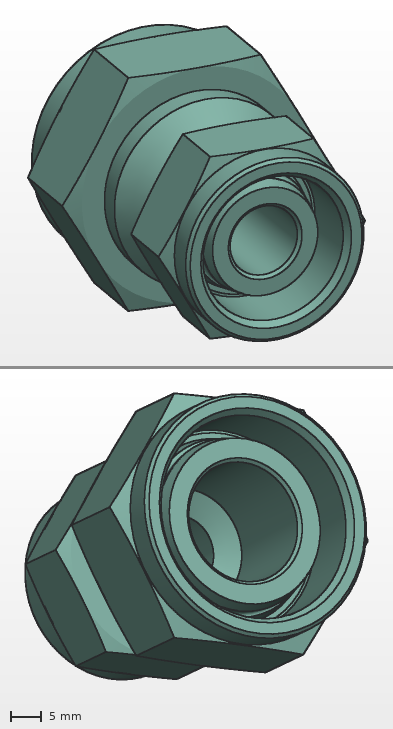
import cadquery as cq
import math

LENGTH = 51.35

FACE_RECESS = 4.25
CONE_LENGTH = 7.95
CONE_HALF_ANGLE = 12.0
SHOULDER_DEPTH = FACE_RECESS + CONE_LENGTH
CONE_RISE = CONE_LENGTH * math.tan(math.radians(CONE_HALF_ANGLE))

GROOVE_SETBACK = 2.65
GROOVE_WIDTH = 2.4
GROOVE_LIP_DEPTH = 0.2
GROOVE_FILLET = 0.6

LARGE_BODY_RADIUS = 16.5
NECK_RADIUS = 12.05
TAPER_START = 24.35
TAPER_END = 28.7

LARGE_BORE_RADIUS = 9.95
THROUGH_RADIUS = 6.0
BORE_CHAMFER = 0.55
BORE_STEP_HALF_ANGLE = 60.0

LARGE_FLATS = 41.0
LARGE_HEX_START = 5.5
LARGE_NUT_LENGTH = 20.5
LARGE_COLLAR_RADIUS = 20.35
SMALL_FLATS = 32.0
SMALL_HEX_START = 4.95
SMALL_NUT_LENGTH = 16.85
SMALL_COLLAR_RADIUS = 15.9
NUT_CLEARANCE = 0.45
SHOULDER_STEP = 1.0
COLLAR_CHAMFER = 0.55
LIP_WIDTH = 0.9
LIP_DEPTH = 1.2
HEX_CHAMFER_ANGLE = 15.0


def turned(points):
    """Revolve a closed (axial, radius) outline about the X axis."""
    return cq.Workplane("XY").polyline(points).close().revolve(360, (0, 0, 0), (1, 0, 0))


def facing_plus_x(shape):
    """Turn a shape built with its open end at x = 0 so that this end lies at x = LENGTH."""
    return shape.rotate((0, 0, 0), (0, 0, 1), 180).translate((LENGTH, 0, 0))


def seal_groove(body_radius):
    """Ring to cut from a sealing cone: cylindrical floor, filleted at both walls."""
    start = FACE_RECESS + GROOVE_SETBACK
    end = start + GROOVE_WIDTH
    face_radius = body_radius - SHOULDER_STEP - CONE_RISE
    near_lip_radius = face_radius + GROOVE_SETBACK * math.tan(math.radians(CONE_HALF_ANGLE))
    floor_radius = near_lip_radius - GROOVE_LIP_DEPTH
    fillet_top = floor_radius + GROOVE_FILLET
    slant = GROOVE_FILLET * math.sqrt(0.5)
    arc_radius = fillet_top - slant
    return (
        cq.Workplane("XY")
        .moveTo(start, body_radius)
        .lineTo(start, fillet_top)
        .threePointArc((start + GROOVE_FILLET - slant, arc_radius), (start + GROOVE_FILLET, floor_radius))
        .lineTo(end - GROOVE_FILLET, floor_radius)
        .threePointArc((end - GROOVE_FILLET + slant, arc_radius), (end, fillet_top))
        .lineTo(end, body_radius)
        .close()
        .revolve(360, (0, 0, 0), (1, 0, 0))
    )


def make_adapter():
    large_cone_radius = LARGE_BODY_RADIUS - SHOULDER_STEP
    small_cone_radius = NECK_RADIUS - SHOULDER_STEP
    small_face = LENGTH - FACE_RECESS
    small_shoulder = LENGTH - SHOULDER_DEPTH
    bore_step_length = (LARGE_BORE_RADIUS - THROUGH_RADIUS) / math.tan(math.radians(BORE_STEP_HALF_ANGLE))
    blank = turned([
        (FACE_RECESS, LARGE_BORE_RADIUS + BORE_CHAMFER),
        (FACE_RECESS, large_cone_radius - CONE_RISE),
        (SHOULDER_DEPTH, large_cone_radius),
        (SHOULDER_DEPTH, LARGE_BODY_RADIUS),
        (TAPER_START, LARGE_BODY_RADIUS),
        (TAPER_END, NECK_RADIUS),
        (small_shoulder, NECK_RADIUS),
        (small_shoulder, small_cone_radius),
        (small_face, small_cone_radius - CONE_RISE),
        (small_face, THROUGH_RADIUS + BORE_CHAMFER),
        (small_face - BORE_CHAMFER, THROUGH_RADIUS),
        (TAPER_START + bore_step_length, THROUGH_RADIUS),
        (TAPER_START, LARGE_BORE_RADIUS),
        (FACE_RECESS + BORE_CHAMFER, LARGE_BORE_RADIUS),
    ])
    return blank.cut(seal_groove(LARGE_BODY_RADIUS)).cut(facing_plus_x(seal_groove(NECK_RADIUS)))


def make_nut(flats, hex_start, length, collar_radius, body_radius):
    """Union nut with its open end at x = 0 and its floor closing on an adapter body."""
    hex_radius = flats / 2
    corner_radius = hex_radius / math.cos(math.pi / 6)
    chamfer_length = (corner_radius - hex_radius) * math.tan(math.radians(HEX_CHAMFER_ANGLE))
    bore_radius = body_radius + NUT_CLEARANCE

    hexagon = (
        cq.Workplane("YZ")
        .workplane(offset=hex_start)
        .polygon(6, 2 * corner_radius)
        .extrude(length - hex_start)
    )
    corner_envelope = turned([
        (hex_start, 0),
        (hex_start, hex_radius),
        (hex_start + chamfer_length, corner_radius),
        (length - chamfer_length, corner_radius),
        (length, hex_radius),
        (length, 0),
    ])
    collar = turned([
        (0, 0),
        (0, collar_radius - COLLAR_CHAMFER),
        (COLLAR_CHAMFER, collar_radius),
        (hex_start, collar_radius),
        (hex_start, 0),
    ])
    opening = turned([
        (0, 0),
        (0, bore_radius + LIP_WIDTH),
        (LIP_DEPTH, bore_radius),
        (SHOULDER_DEPTH, bore_radius),
        (SHOULDER_DEPTH, body_radius),
        (length, body_radius),
        (length, 0),
    ])
    return hexagon.intersect(corner_envelope).union(collar).cut(opening)


adapter = make_adapter()
large_nut = make_nut(
    LARGE_FLATS, LARGE_HEX_START, LARGE_NUT_LENGTH, LARGE_COLLAR_RADIUS, LARGE_BODY_RADIUS
)
small_nut = facing_plus_x(
    make_nut(SMALL_FLATS, SMALL_HEX_START, SMALL_NUT_LENGTH, SMALL_COLLAR_RADIUS, NECK_RADIUS)
)

result = cq.Compound.makeCompound([adapter.val(), large_nut.val(), small_nut.val()])